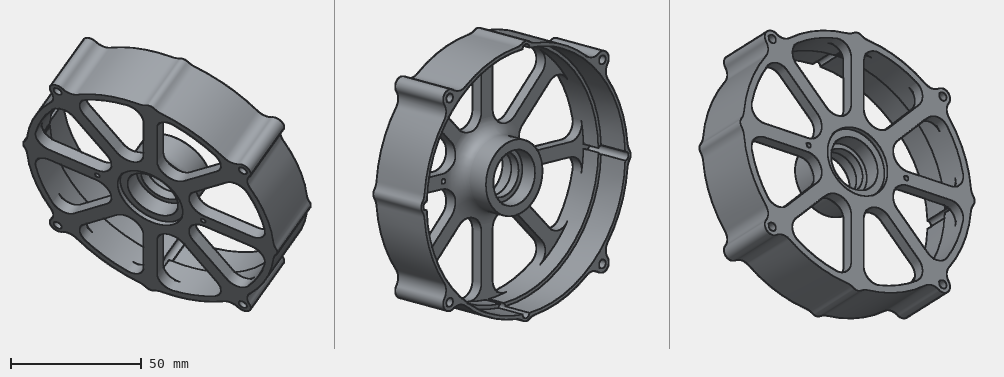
import cadquery as cq
import math

width = 26.5
rim_outer_radius = 54.0
rim_inner_radius = 51.0
plate_thickness = 5.0

lug_offset = 40.4
lug_radius = 3.5
lug_hole_diameter = 3.5
bump_tip_radius = 55.5
bump_radius = 3.0
bump_center_radius = bump_tip_radius - bump_radius
lug_blend_radius = 5.4
bump_blend_radius = 7.0
side_count = 4

rear_rim_start = width / 2
rear_rim_inner_radius = 52.5
groove_radius = 1.75

spoke_count = 8
spoke_width = 6.0
window_hub_fillet = 6.85
window_rim_fillet = 6.0
pin_hole_diameter = 2.0
pin_hole_offset = 23.1

hub_radius = 15.0
hub_length = 20.0
hub_root_fillet = 6.0
root_end = plate_thickness + hub_root_fillet
recess_radius = 14.2
recess_depth = 2.0
bearing_radius = 11.0
bearing_width = 7.0
shaft_radius = 9.0


def cylinder(radius, start, length, x=0.0, z=0.0):
    """Cylinder along +Y, beginning at Y = start."""
    return cq.Workplane(cq.Solid.makeCylinder(
        radius, length, cq.Vector(x, start, z), cq.Vector(0, 1, 0)))


def polar(radius, angle):
    """Point in the X-Z plane at an angle in degrees from +X."""
    return radius * math.cos(math.radians(angle)), radius * math.sin(math.radians(angle))


def extrude_outline(outline, length):
    """Extrude an X-Z outline from the front face toward +Y."""
    return outline.close().extrude(-length)


def rotated(shape, angle):
    """Turn a shape about the wheel axis."""
    return shape.rotate((0, 0, 0), (0, 1, 0), angle)


def blended_knob(center_radius, radius, blend_radius):
    """Round knob on the +X side of the rim, joined to it by concave arcs."""
    to_axis = rim_outer_radius + blend_radius
    to_knob = radius + blend_radius
    blend_x = (to_axis**2 - to_knob**2 + center_radius**2) / (2 * center_radius)
    blend_z = math.sqrt(to_axis**2 - blend_x**2)
    rim_x = blend_x * rim_outer_radius / to_axis
    rim_z = blend_z * rim_outer_radius / to_axis
    knob_x = center_radius + (blend_x - center_radius) * radius / to_knob
    knob_z = blend_z * radius / to_knob
    chord_x = (rim_x + knob_x) / 2 - blend_x
    chord_z = (rim_z + knob_z) / 2 - blend_z
    reach = blend_radius / math.hypot(chord_x, chord_z)
    mid_x = blend_x + chord_x * reach
    mid_z = blend_z + chord_z * reach
    outline = (
        cq.Workplane("XZ")
        .moveTo(0, 0)
        .lineTo(rim_x, -rim_z)
        .threePointArc((mid_x, -mid_z), (knob_x, -knob_z))
        .threePointArc((center_radius + radius, 0), (knob_x, knob_z))
        .threePointArc((mid_x, mid_z), (rim_x, rim_z))
    )
    return extrude_outline(outline, width)


def make_body():
    """Solid wheel outline with four lugs and four bumps."""
    body = cylinder(rim_outer_radius, 0, width)
    bump = blended_knob(bump_center_radius, bump_radius, bump_blend_radius)
    lug = blended_knob(lug_offset * math.sqrt(2), lug_radius, lug_blend_radius)
    step = 360 / side_count
    for i in range(side_count):
        body = body.union(rotated(bump, i * step))
        body = body.union(rotated(lug, (i + 0.5) * step))
    return body


def cut_interior(body):
    """Hollow out the rear side down to the spoked plate."""
    body = body.cut(cylinder(rim_inner_radius, plate_thickness, width))
    body = body.cut(cylinder(rear_rim_inner_radius, rear_rim_start, width))
    for i in range(side_count):
        x, z = polar(bump_center_radius, i * 360 / side_count)
        body = body.cut(cylinder(groove_radius, plate_thickness, width, x, z))
    return body


def make_window():
    """Rounded sector between the +X spoke and the next one."""
    half_spoke = spoke_width / 2
    pitch = 360 / spoke_count
    middle = pitch / 2
    apex = half_spoke / math.sin(math.radians(middle))
    far_x = 2 * rim_inner_radius
    apex_x, apex_z = polar(apex, middle)
    run_x, run_z = polar(far_x, pitch)
    wedge = extrude_outline(
        cq.Workplane("XZ")
        .moveTo(apex_x, apex_z)
        .lineTo(apex_x + far_x, apex_z)
        .lineTo(apex_x + run_x, apex_z + run_z),
        root_end,
    )
    hub_end = cq.selectors.NearestToPointSelector((apex_x, root_end / 2, apex_z))
    wedge = wedge.edges(hub_end).fillet(window_hub_fillet)
    sector = wedge.intersect(cylinder(rim_inner_radius, 0, root_end))
    corner_angle = math.degrees(math.asin(half_spoke / rim_inner_radius))
    for angle in (corner_angle, pitch - corner_angle):
        x, z = polar(rim_inner_radius, angle)
        corner = cq.selectors.NearestToPointSelector((x, root_end / 2, z))
        sector = sector.edges(corner).fillet(window_rim_fillet)
    return sector


def cut_windows(body):
    """Open the plate between the spokes."""
    window = make_window()
    for i in range(spoke_count):
        body = body.cut(rotated(window, i * 360 / spoke_count))
    return body


def make_hub():
    """Bearing hub standing on the back of the plate, with a concave root."""
    root_radius = hub_radius + hub_root_fillet
    arc_inset = hub_root_fillet * (1 - math.sqrt(0.5))
    profile = (
        cq.Workplane("XY")
        .lineTo(root_radius, 0)
        .lineTo(root_radius, plate_thickness)
        .threePointArc((hub_radius + arc_inset, plate_thickness + arc_inset), (hub_radius, root_end))
        .lineTo(hub_radius, hub_length)
        .lineTo(0, hub_length)
        .close()
    )
    return profile.revolve(360, (0, 0, 0), (0, 1, 0))


def cut_bores(body):
    """Front recess, two bearing seats and the shaft hole between them."""
    body = body.cut(cylinder(recess_radius, 0, recess_depth))
    body = body.cut(cylinder(bearing_radius, recess_depth, bearing_width))
    body = body.cut(cylinder(bearing_radius, hub_length - bearing_width, bearing_width))
    return body.cut(cylinder(shaft_radius, 0, hub_length))


def cut_holes(body):
    """Screw holes through the lugs and pin holes through the X spokes."""
    for side in (-1, 1):
        x = side * pin_hole_offset
        body = body.cut(cylinder(pin_hole_diameter / 2, 0, root_end, x))
        for z in (-lug_offset, lug_offset):
            body = body.cut(cylinder(lug_hole_diameter / 2, 0, width, side * lug_offset, z))
    return body


wheel = cut_interior(make_body())
wheel = wheel.union(make_hub())
wheel = cut_windows(wheel)
wheel = cut_bores(wheel)
result = cut_holes(wheel)